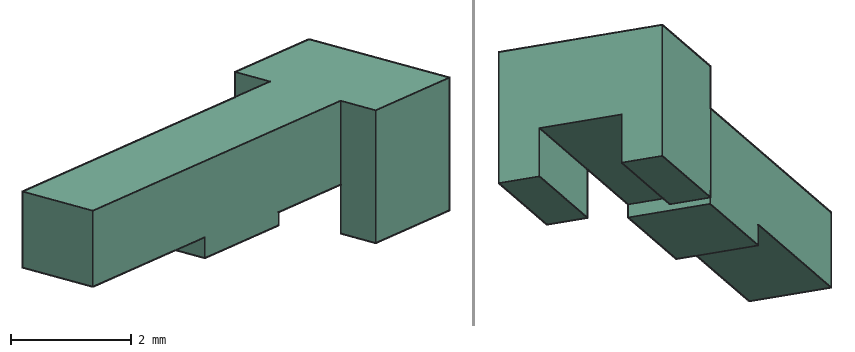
import cadquery as cq

total_length = 8.68
head_width = 2.98
head_height = 2.36

head_length = 2.0
bar_width = 1.49
root_depth = 1.49
tip_depth = 1.35

pad_gap = 1.67
pad_length = 2.0
pad_depth = 1.73

head_front = total_length - head_length
pad_back = head_front - pad_gap
pad_front = pad_back - pad_length


def make_head():
    """Solid block across the full width at the +Y end."""
    return cq.Workplane("XY").box(
        head_width, head_length, head_height, centered=(True, False, False)
    ).translate((0, head_front, -head_height))


def cut_head_slot(head):
    """Open the underside of the head along Y, leaving two legs."""
    slot_height = head_height - root_depth
    slot = cq.Workplane("XY").box(
        bar_width, head_length, slot_height, centered=(True, False, False)
    ).translate((0, head_front, -head_height))
    return head.cut(slot)


def make_bar():
    """Stepped side profile of the bar and its pad, extruded across the bar width."""
    profile = [
        (0, 0),
        (total_length, 0),
        (total_length, -root_depth),
        (pad_back, -root_depth),
        (pad_back, -pad_depth),
        (pad_front, -pad_depth),
        (pad_front, -tip_depth),
        (0, -tip_depth),
    ]
    return cq.Workplane("YZ").polyline(profile).close().extrude(bar_width / 2, both=True)


result = cut_head_slot(make_head()).union(make_bar()).clean()